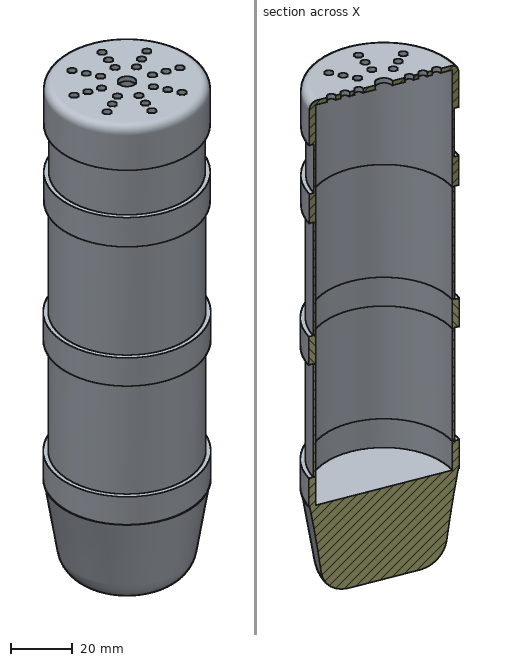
import cadquery as cq
import math

total_height = 189.4
ring_diameter = 54.4
cap_diameter = 54.0
tube_diameter = 51.1
neck_diameter = 50.8
bore_diameter = 49.0

taper_height = 35.0
ring_height = 11.0
tube_height = 43.0
collar_height = 11.4
cap_height = 16.7

taper_top_diameter = 53.8
taper_bottom_diameter = 42.6
foot_fillet = 10.0

plate_thickness = 1.9
cap_fillet = 3.0
center_hole_diameter = 6.0
small_hole_diameter = 3.0
spoke_count = 8
holes_per_spoke = 3
first_hole_radius = 9.0
hole_pitch = 5.0

base_top = taper_height + ring_height
middle_ring_bottom = base_top + tube_height
middle_ring_top = middle_ring_bottom + ring_height
lid_bottom = middle_ring_top + tube_height
neck_bottom = lid_bottom + collar_height
cap_bottom = total_height - cap_height


def cylinder(diameter, bottom, top):
    """Solid cylinder on the Z axis between two levels."""
    return cq.Workplane("XY").workplane(offset=bottom).circle(diameter / 2).extrude(top - bottom)


def sleeve(diameter, bottom, top):
    """Cylinder with the common bore running through it."""
    return cylinder(diameter, bottom, top).cut(cylinder(bore_diameter, bottom, top))


def make_base():
    """Rounded tapered foot topped by a ring that is open upward."""
    taper = (
        cq.Workplane("XZ")
        .polyline([
            (0, 0),
            (taper_bottom_diameter / 2, 0),
            (taper_top_diameter / 2, taper_height),
            (0, taper_height),
        ])
        .close()
        .revolve(360, (0, 0), (0, 1))
    )
    foot = taper.faces("<Z").edges().fillet(foot_fillet)
    return foot.union(sleeve(ring_diameter, taper_height, base_top))


def make_tube(bottom):
    """Plain thin-walled tube."""
    return sleeve(tube_diameter, bottom, bottom + tube_height)


def make_middle_ring():
    """Ring that separates the two tubes."""
    return sleeve(ring_diameter, middle_ring_bottom, middle_ring_top)


def spoke_hole_centers():
    """Hole centers along equally spaced radial spokes."""
    centers = []
    for spoke in range(spoke_count):
        angle = 2 * math.pi * spoke / spoke_count
        for step in range(holes_per_spoke):
            radius = first_hole_radius + step * hole_pitch
            centers.append((radius * math.cos(angle), radius * math.sin(angle)))
    return centers


def make_lid():
    """Hollow lid: collar, narrower neck and a rounded cap with a perforated plate."""
    plate_bottom = total_height - plate_thickness
    collar = cylinder(cap_diameter, lid_bottom, neck_bottom)
    neck = cylinder(neck_diameter, neck_bottom, cap_bottom)
    cap = cylinder(cap_diameter, cap_bottom, total_height).faces(">Z").edges().fillet(cap_fillet)
    shell = collar.union(neck).union(cap).cut(cylinder(bore_diameter, lid_bottom, plate_bottom))

    plate_plane = cq.Workplane("XY").workplane(offset=plate_bottom)
    center_hole = plate_plane.circle(center_hole_diameter / 2).extrude(plate_thickness)
    small_holes = (
        plate_plane.pushPoints(spoke_hole_centers())
        .circle(small_hole_diameter / 2)
        .extrude(plate_thickness)
    )
    return shell.cut(center_hole).cut(small_holes)


base = make_base()
tubes = [make_tube(bottom) for bottom in (base_top, middle_ring_top)]
middle_ring = make_middle_ring()
lid = make_lid()

result = cq.Compound.makeCompound([
    base.solids().val(),
    *[tube.solids().val() for tube in tubes],
    middle_ring.solids().val(),
    lid.solids().val(),
])